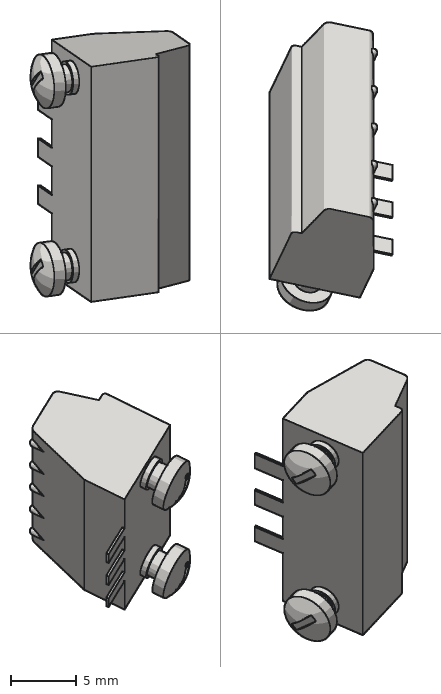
import cadquery as cq
import math

overall_height = 19.42
pole_count = 5
pole_pitch = 3.8
body_height = pole_count * pole_pitch

body_width = 7.28
body_depth = 9.2
left_wall_depth = 3.53
top_left_x = 1.85
top_right_x = 5.61
shelf_left_x = 6.53
shelf_depth = 5.83
back_corner_radius = 0.5
shelf_corner_radius = 0.3

pin_count = 3
pin_length = 2.56
pin_width = 1.5
pin_thickness = 0.2

screw_x = 3.79
screw_spacing = (pole_count - 1) * pole_pitch
collar_diameter = 2.6
collar_end = 0.5
neck_diameter = 2.18
head_start = 1.5
head_diameter = overall_height - screw_spacing
head_rim_end = 2.47
head_end = 3.2

slot_length = 2.6
slot_width = 0.6
slot_depth = 0.25
slot_angle = 45

bump_radius = 0.33


def row(count):
    """Heights of a row of items at pole pitch, centred on the body."""
    return [(i - (count - 1) / 2) * pole_pitch for i in range(count)]


def make_body():
    profile = [
        (0, 0),
        (body_width, 0),
        (body_width, shelf_depth),
        (shelf_left_x, shelf_depth),
        (top_right_x, body_depth),
        (top_left_x, body_depth),
        (0, left_wall_depth),
    ]
    body = cq.Workplane("XY").polyline(profile).close().extrude(body_height / 2, both=True)
    body = body.edges("|Z and >Y").fillet(back_corner_radius)
    shelf_corner = cq.selectors.NearestToPointSelector((body_width, shelf_depth, 0))
    return body.edges("|Z").edges(shelf_corner).fillet(shelf_corner_radius)


def make_pin(z):
    length = pin_length + pin_thickness
    pin = cq.Workplane("XY").box(length, pin_thickness, pin_width, centered=(False, False, True))
    return pin.translate((-pin_length, 0, z))


def make_screw(z):
    collar_radius = collar_diameter / 2
    neck_radius = neck_diameter / 2
    head_radius = head_diameter / 2
    dome_height = head_end - head_rim_end
    dome_radius = (head_radius**2 + dome_height**2) / (2 * dome_height)
    half_angle = math.asin(head_radius / dome_radius) / 2
    dome_middle = (
        dome_radius * math.sin(half_angle),
        -(head_end - dome_radius + dome_radius * math.cos(half_angle)),
    )
    screw = (
        cq.Workplane("XY")
        .moveTo(0, 0)
        .lineTo(collar_radius, 0)
        .lineTo(collar_radius, -collar_end)
        .lineTo(neck_radius, -collar_end)
        .lineTo(neck_radius, -head_start)
        .lineTo(head_radius, -head_start)
        .lineTo(head_radius, -head_rim_end)
        .threePointArc(dome_middle, (0, -head_end))
        .close()
        .revolve(360, (0, 0), (0, 1))
    )
    slot = (
        cq.Workplane("XY")
        .box(slot_length, 2 * slot_depth, slot_width)
        .rotate((0, 0, 0), (0, 1, 0), -slot_angle)
        .translate((0, -head_end, 0))
    )
    return screw.cut(slot).translate((screw_x, 0, z))


def make_bump(z):
    slope_angle = math.atan2(top_left_x, body_depth - left_wall_depth)
    apex_distance = bump_radius / math.sin(slope_angle)
    tangent_point = (
        bump_radius * math.cos(slope_angle),
        -bump_radius * math.sin(slope_angle),
    )
    bump = (
        cq.Workplane("XY")
        .moveTo(0, -apex_distance)
        .lineTo(*tangent_point)
        .threePointArc(
            (bump_radius * math.cos(math.pi / 4), bump_radius * math.sin(math.pi / 4)),
            (0, bump_radius),
        )
        .close()
        .revolve(360, (0, 0), (0, 1))
        .rotate((0, 0, 0), (0, 0, 1), -math.degrees(slope_angle))
    )
    x = top_left_x - bump_radius * math.tan(slope_angle)
    return bump.translate((x, body_depth - bump_radius, z))


result = make_body()
for pin_z in row(pin_count):
    result = result.union(make_pin(pin_z))
for bump_z in row(pole_count):
    result = result.union(make_bump(bump_z))
for screw_z in (-screw_spacing / 2, screw_spacing / 2):
    result = result.union(make_screw(screw_z))